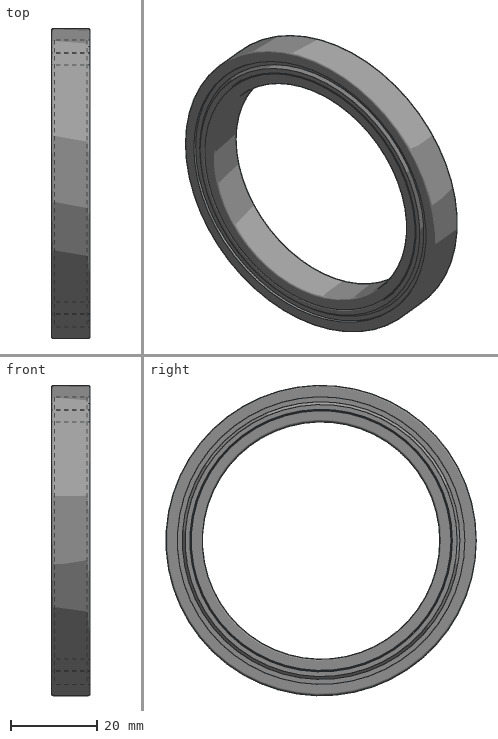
import cadquery as cq

outer_diameter = 72.0
bore_diameter = 55.0
width = 9.0
corner_radius = 0.5

outer_ring_inner_radius = 33.35
seal_inner_radius = 30.4
inner_ring_outer_radius = 30.2

rim_recess = 0.7
slope_outer_radius = 32.2
slope_inner_radius = 31.55
lip_radius = 0.15

outer_radius = outer_diameter / 2
bore_radius = bore_diameter / 2
half_width = width / 2


def plain_ring(inner_radius, ring_outer_radius):
    """Full-width ring with a rectangular section, centred on the origin."""
    return (
        cq.Workplane("YZ", origin=(-half_width, 0, 0))
        .circle(ring_outer_radius)
        .circle(inner_radius)
        .extrude(width)
    )


def make_outer_ring():
    """Outer race, rounded at both ends of its outer rim."""
    ring = plain_ring(outer_ring_inner_radius, outer_radius)
    outermost_circles = cq.selectors.RadiusNthSelector(-1)
    return ring.edges(outermost_circles).fillet(corner_radius)


def make_inner_ring():
    """Inner race, rounded at both ends of its bore."""
    ring = plain_ring(bore_radius, inner_ring_outer_radius)
    innermost_circles = cq.selectors.RadiusNthSelector(0)
    return ring.edges(innermost_circles).fillet(corner_radius)


def make_seal():
    """Ring between the races: flush near its rounded lip, sloping down to a recessed rim."""
    rim_half_width = half_width - rim_recess
    body = (
        cq.Workplane("XY")
        .moveTo(-half_width, seal_inner_radius)
        .lineTo(-half_width, slope_inner_radius)
        .lineTo(-rim_half_width, slope_outer_radius)
        .lineTo(-rim_half_width, outer_ring_inner_radius)
        .lineTo(rim_half_width, outer_ring_inner_radius)
        .lineTo(rim_half_width, slope_outer_radius)
        .lineTo(half_width, slope_inner_radius)
        .lineTo(half_width, seal_inner_radius)
        .close()
        .revolve(360, (0, 0, 0), (1, 0, 0))
    )
    bore_circles = cq.selectors.RadiusNthSelector(0)
    return body.edges(bore_circles).fillet(lip_radius)


outer_ring = make_outer_ring()
inner_ring = make_inner_ring()
seal = make_seal()

result = cq.Compound.makeCompound([outer_ring.val(), inner_ring.val(), seal.val()])